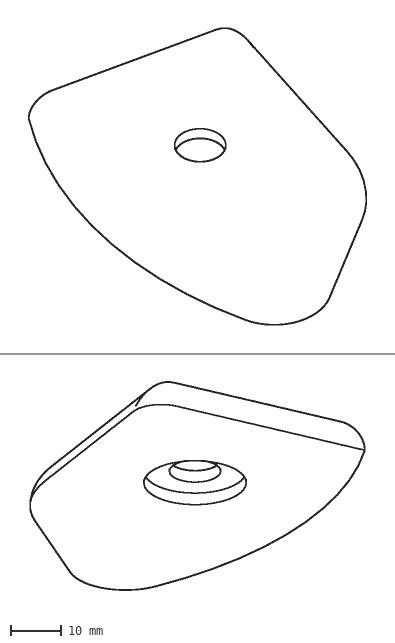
import cadquery as cq
import math

length = 81.06
width = 54.67
thickness = 5.08

border_radius = thickness
shoulder_radius = 24.13
nose_radius = 11.43
nose_offset = 32.77
belly_radius = 87.63
slant_angle = math.radians(45)
corner_radius = 6.35

hole_diameter = 10.16
hole_x = 29.35
hole_y = -26.54
hole_land = 2.54
recess_diameter = 2 * hole_diameter

overrun = 10.0


def point_on_arc(center, radius, angle):
    """Point at the given angle on a circle in plan."""
    return (center[0] + radius * math.cos(angle), center[1] + radius * math.sin(angle))


nose_center = (length - nose_radius, -nose_offset)
slant_distance = (
    nose_center[0] * math.cos(slant_angle) + nose_center[1] * math.sin(slant_angle) + nose_radius
)
shoulder_y = -shoulder_radius
shoulder_x = (
    slant_distance - shoulder_radius - shoulder_y * math.sin(slant_angle)
) / math.cos(slant_angle)
shoulder_center = (shoulder_x, shoulder_y)

belly_y = belly_radius - width
belly_rise = belly_y - nose_center[1]
belly_x = nose_center[0] - math.sqrt((belly_radius - nose_radius) ** 2 - belly_rise**2)
belly_center = (belly_x, belly_y)

flat_shoulder_radius = shoulder_radius - border_radius
flat_nose_radius = nose_radius - border_radius
flat_belly_radius = belly_radius - border_radius

back_angle = math.radians(90)
nose_end_angle = math.atan2(nose_center[1] - belly_y, nose_center[0] - belly_x)
belly_end_angle = -math.pi + math.acos((belly_x + overrun) / flat_belly_radius)
belly_mid_angle = (nose_end_angle + belly_end_angle) / 2

back_start = (-overrun, -border_radius)
shoulder_start = point_on_arc(shoulder_center, flat_shoulder_radius, back_angle)
shoulder_mid = point_on_arc(shoulder_center, flat_shoulder_radius, (back_angle + slant_angle) / 2)
shoulder_end = point_on_arc(shoulder_center, flat_shoulder_radius, slant_angle)
nose_start = point_on_arc(nose_center, flat_nose_radius, slant_angle)
nose_mid = point_on_arc(nose_center, flat_nose_radius, (slant_angle + nose_end_angle) / 2)
nose_end = point_on_arc(nose_center, flat_nose_radius, nose_end_angle)
belly_mid = point_on_arc(belly_center, flat_belly_radius, belly_mid_angle)
belly_end = point_on_arc(belly_center, flat_belly_radius, belly_end_angle)


def flat_edge():
    """Open wire along the edge of the flat top, from the back round to the front."""
    return (
        cq.Workplane("XY")
        .moveTo(*back_start)
        .lineTo(*shoulder_start)
        .threePointArc(shoulder_mid, shoulder_end)
        .lineTo(*nose_start)
        .threePointArc(nose_mid, nose_end)
        .threePointArc(belly_mid, belly_end)
    )


def core():
    """Plate of full thickness under the flat top."""
    return flat_edge().close().extrude(thickness)


def quarter_round_border():
    """Quarter disc carried along the edge of the flat top."""
    quarter_mid = border_radius * math.sqrt(0.5)
    return (
        cq.Workplane("YZ", origin=(back_start[0], back_start[1], 0))
        .lineTo(border_radius, 0)
        .threePointArc((quarter_mid, quarter_mid), (0, border_radius))
        .close()
        .sweep(flat_edge())
    )


def envelope():
    """Block that trims the left end square and rounds the back left corner."""
    return (
        cq.Workplane("XY")
        .box(length, width, thickness, centered=False)
        .translate((0, -width, 0))
        .edges("|Z and <X and >Y")
        .fillet(corner_radius)
    )


def recessed_hole():
    """Through hole that opens into a wider round recess in the underside."""
    center_line = cq.Workplane("XY").center(hole_x, hole_y)
    hole = center_line.circle(hole_diameter / 2).extrude(thickness)
    recess = center_line.circle(recess_diameter / 2).extrude(thickness - hole_land)
    return hole.union(recess)


result = core().union(quarter_round_border()).intersect(envelope()).cut(recessed_hole())